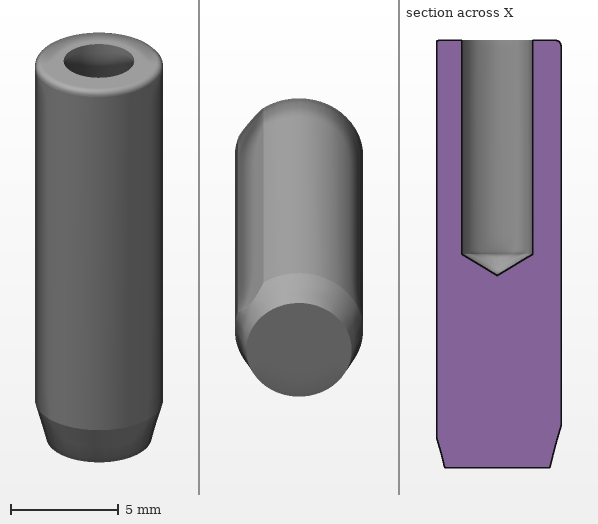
import cadquery as cq
import math

length = 20.0
body_radius = 3.0
top_fillet = 0.3
taper_height = 2.0
taper_angle = 15.0
tip_radius = body_radius - taper_height * math.tan(math.radians(taper_angle))

flat_distance = 2.85

hole_diameter = 3.3
hole_depth = 10.0
drill_point_angle = 118.0


def make_body():
    """Round pin with a conical lead-in and a rounded top edge."""
    half_profile = (
        cq.Workplane("XZ")
        .lineTo(tip_radius, 0)
        .lineTo(body_radius, taper_height)
        .lineTo(body_radius, length)
        .lineTo(0, length)
        .close()
    )
    body = half_profile.revolve(360, (0, 0, 0), (0, 1, 0))
    return body.faces(">Z").edges().fillet(top_fillet)


def make_flat_cutter():
    """Block covering everything beyond the flat."""
    return (
        cq.Workplane("XY")
        .box(2 * body_radius, body_radius, length, centered=(True, False, False))
        .translate((0, flat_distance, 0))
    )


def make_hole_cutter():
    """Drilled shape: a cylinder ending in a cone."""
    hole_radius = hole_diameter / 2
    straight_end = length - hole_depth
    point_depth = hole_radius / math.tan(math.radians(drill_point_angle / 2))
    half_profile = (
        cq.Workplane("XZ")
        .moveTo(0, length)
        .lineTo(hole_radius, length)
        .lineTo(hole_radius, straight_end)
        .lineTo(0, straight_end - point_depth)
        .close()
    )
    return half_profile.revolve(360, (0, 0, 0), (0, 1, 0))


result = make_body().cut(make_flat_cutter()).cut(make_hole_cutter())